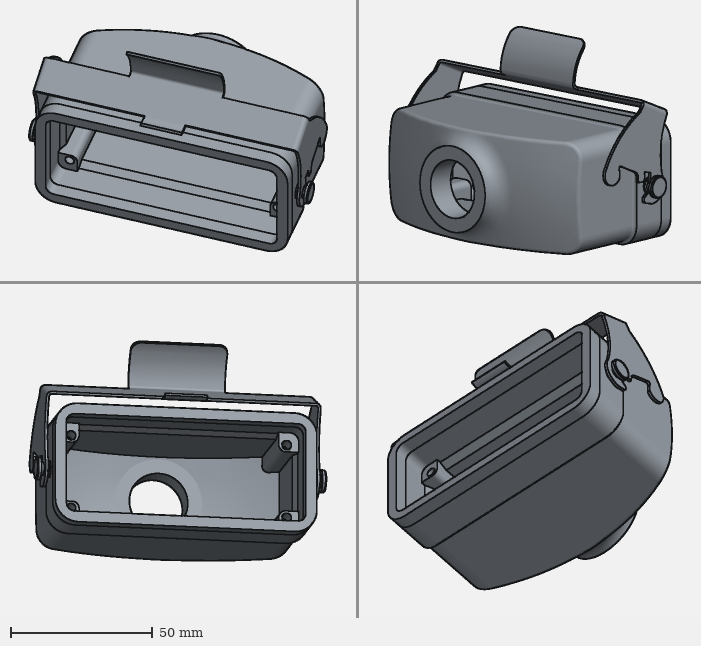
import cadquery as cq
import math


flange_width = 94.1
flange_height = 43.2
flange_radius = 8.0
flange_depth = 18.0
seal_depth = 5.1

body_width = 91.1
body_height = 40.9
body_radius = 6.7
step_fillet = 1
step_margin = 0.1
dome_peak = 57.7
dome_radius = 99.8
dome_center_y = dome_peak - dome_radius
dome_edge_fillet = 1.6

neck_end = 63.0
neck_diameter = 31.2
neck_flare = 7.1
entry_diameter = 21.0

mouth_width = 86.2
mouth_height = 35.5
mouth_radius = 3.1
cavity_inset = 1.4
taper_start = 15.5
taper_end = 18.8
back_wall = 4.0

boss_width = 7.2
boss_height = 7.0
boss_radius = 2.5
boss_front = 13.8
screw_spacing_x = 77.6
screw_spacing_z = 26.4
screw_hole_diameter = 3.3
screw_hole_depth = 8.3

overall_width = 104
pin_y = 11.4
pin_diameter = 4.7
pin_head_diameter = 8.0
pin_head_thickness = 1.5
pin_head_chamfer = 0.4
pin_collar_diameter = 5.9
pin_collar_thickness = 0.6
pin_collar_taper = 0.4

lever_width = 98.8
sheet = 0.99
bend_radius = 0.99
plate_tilt = 23.6
plate_length = 13.4
plate_back_y = 16.2
plate_back_z = 31.8
handle_width = 34.7
handle_bend_radius = 1
handle_arc_radius = 20.6
handle_arc_s = -16.2
handle_arc_n = 7.6
handle_end_angle = 26.5
handle_corner_radius = 3.4
slot_top_angle = 42
slot_low_angle = -36
tab_width = 15.2
tab_radius = 4.8
tab_angle = 51


def sharp_block(width, height, y_front, y_back):
    """Block along Y with a plain rectangular section centred on the Y axis."""
    return cq.Workplane("XZ", origin=(0, y_front, 0)).rect(width, height).extrude(y_front - y_back)


def rounded_block(width, height, radius, y_front, y_back):
    """Block along Y with a rounded rectangular section centred on the Y axis."""
    return sharp_block(width, height, y_front, y_back).edges("|Y").fillet(radius)


def y_cylinder(diameter, y_front, y_back):
    """Cylinder on the Y axis."""
    return cq.Workplane("XZ", origin=(0, y_front, 0)).circle(diameter / 2).extrude(y_front - y_back)


def dome_sphere(offset):
    """Sphere whose far cap is the domed back, moved inward by the offset."""
    return cq.Workplane("XY", origin=(0, dome_center_y, 0)).sphere(dome_radius - offset)


def neck_solid():
    """Round neck that flares into the dome, turned about the Y axis."""
    neck_radius = neck_diameter / 2
    flare_center_r = neck_radius + neck_flare
    flare_center_y = dome_center_y + math.sqrt((dome_radius + neck_flare) ** 2 - flare_center_r**2)
    tangent = dome_radius / (dome_radius + neck_flare)
    foot_r = flare_center_r * tangent
    foot_y = dome_center_y + (flare_center_y - dome_center_y) * tangent
    diagonal = neck_flare * math.sqrt(0.5)
    return (
        cq.Workplane("XY")
        .moveTo(0, flange_depth)
        .lineTo(foot_r, flange_depth)
        .lineTo(foot_r, foot_y)
        .threePointArc(
            (flare_center_r - diagonal, flare_center_y - diagonal),
            (neck_radius, flare_center_y),
        )
        .lineTo(neck_radius, neck_end)
        .lineTo(0, neck_end)
        .close()
        .revolve(360, (0, 0, 0), (0, 1, 0))
    )


def dome_edges(solid):
    """Edges where the domed back meets the flat and rounded sides of the body."""
    return [
        edge
        for edge in solid.edges().vals()
        if neck_end / 2 < edge.Center().y < dome_peak
        and (abs(edge.Center().z) > body_height / 3 or abs(edge.Center().x) > body_width / 3)
    ]


def outer_hood():
    """Filled outside shape: domed body, neck and the wider flange with a filleted step."""
    envelope = rounded_block(body_width, body_height, body_radius, seal_depth, neck_end)
    body = dome_sphere(0).union(neck_solid()).intersect(envelope)
    body = body.newObject(dome_edges(body)).fillet(dome_edge_fillet)
    flange = rounded_block(flange_width, flange_height, flange_radius, seal_depth, flange_depth)
    hood = body.union(flange)
    step_zone = cq.selectors.BoxSelector(
        (-body_width / 2 - step_margin, flange_depth - step_margin, -body_height / 2 - step_margin),
        (body_width / 2 + step_margin, flange_depth + step_margin, body_height / 2 + step_margin),
        boundingbox=True,
    )
    return hood.edges(step_zone).fillet(step_fillet)


def cavity():
    """Stepped cavity that follows the dome, with a flat seat around the cable entry."""
    mouth = rounded_block(mouth_width, mouth_height, mouth_radius, seal_depth, taper_start)
    deep_width = mouth_width - 2 * cavity_inset
    deep_height = mouth_height - 2 * cavity_inset
    taper = (
        cq.Workplane("XZ", origin=(0, taper_start, 0))
        .rect(mouth_width, mouth_height)
        .workplane(offset=taper_start - taper_end)
        .rect(deep_width, deep_height)
        .loft(ruled=True)
    )
    deep = sharp_block(deep_width, deep_height, taper_end, neck_end).intersect(dome_sphere(back_wall))
    inner_dome_radius = dome_radius - back_wall
    entry_seat = dome_center_y + math.sqrt(inner_dome_radius**2 - (neck_diameter / 2) ** 2)
    deep = deep.cut(y_cylinder(neck_diameter, entry_seat, neck_end))
    return mouth.union(taper).union(deep)


def screw_bosses():
    """Corner columns from near the mouth to the dome, each with a rounded inner corner."""
    column = sharp_block(mouth_width, mouth_height, boss_front, neck_end)
    gap_x = mouth_width - 2 * boss_width
    gap_z = mouth_height - 2 * boss_height
    upright = sharp_block(gap_x, mouth_height, boss_front, neck_end)
    level = sharp_block(mouth_width, gap_z, boss_front, neck_end)
    inner_corners = cq.selectors.BoxSelector(
        (-mouth_width / 2 + boss_radius, boss_front, -mouth_height / 2 + boss_radius),
        (mouth_width / 2 - boss_radius, neck_end, mouth_height / 2 - boss_radius),
    )
    cross = upright.union(level).edges("|Y").edges(inner_corners).fillet(boss_radius)
    return column.cut(cross)


def screw_holes():
    return (
        cq.Workplane("XZ", origin=(0, boss_front, 0))
        .rect(screw_spacing_x, screw_spacing_z, forConstruction=True)
        .vertices()
        .circle(screw_hole_diameter / 2)
        .extrude(-screw_hole_depth)
    )


def make_housing():
    outside = outer_hood()
    hollow = cavity().cut(screw_bosses()).union(screw_holes())
    return outside.cut(hollow).cut(y_cylinder(entry_diameter, flange_depth, neck_end))


def make_seal():
    """Ring that closes the front of the flange."""
    ring = rounded_block(flange_width, flange_height, flange_radius, 0, seal_depth)
    return ring.cut(rounded_block(mouth_width, mouth_height, mouth_radius, 0, seal_depth))


def make_pin(side):
    """Headed pivot pin with a collar against the flange; side is -1 for -X and +1 for +X."""
    pin_radius = pin_diameter / 2
    collar_radius = pin_collar_diameter / 2
    head_radius = pin_head_diameter / 2
    inner_end = flange_width / 2
    collar_end = inner_end + pin_collar_thickness
    outer_end = overall_width / 2
    profile = [
        (inner_end, 0),
        (inner_end, collar_radius),
        (collar_end, collar_radius),
        (collar_end + pin_collar_taper, pin_radius),
        (outer_end - pin_head_thickness, pin_radius),
        (outer_end - pin_head_thickness, head_radius),
        (outer_end - pin_head_chamfer, head_radius),
        (outer_end, head_radius - pin_head_chamfer),
        (outer_end, 0),
    ]
    return (
        cq.Workplane("XY", origin=(0, pin_y, 0))
        .polyline([(side * x, r) for x, r in profile])
        .close()
        .revolve(360, (0, 0, 0), (1, 0, 0))
    )


def place_on_plate(solid):
    """Move a solid from plate coordinates (Y along the plate, Z out of it) to its tilted place."""
    return solid.rotate((0, 0, 0), (1, 0, 0), plate_tilt).translate((0, plate_back_y, plate_back_z))


def centred_strip(outline, width):
    """Extrude a YZ outline symmetrically about the plane x = 0."""
    return outline.extrude(width / 2, both=True)


def point_on_pin(angle):
    """Point (y, z) on the pin's shank at an angle in degrees from +Y toward +Z."""
    turn = math.radians(angle)
    return (pin_y + pin_diameter / 2 * math.cos(turn), pin_diameter / 2 * math.sin(turn))


def lever_outline():
    """Side view of the lever arms: latch hook, plate end and hook around the pivot pin."""
    tilt = math.radians(plate_tilt)
    plate_front_y = plate_back_y - plate_length * math.cos(tilt)
    plate_front_z = plate_back_z - plate_length * math.sin(tilt)
    bend_depth = sheet + bend_radius
    drop_y = bend_depth * math.sin(tilt)
    drop_z = -bend_depth * math.cos(tilt)
    front_edge_top = (plate_front_y + drop_y, plate_front_z + drop_z)
    back_edge_top = (plate_back_y + drop_y, plate_back_z + drop_z)

    front_edge_mid, front_edge_end = (7.9, 13.9), (7.1, 3.2)
    pin_hook_mid, pin_hook_end = (7.8, -4.1), (12.8, -6.2)
    hook_tip_start, hook_tip_mid, hook_tip_end = (15.8, -5.4), (16.6, -4.2), (16.1, -3.1)
    slot_mouth_low = (15.0, -2.3)
    notch_height, notch_corner = 5.2, (15.9, 5.8)
    notch_round_mid, notch_round_end = (16.3, 5.7), (16.4, 5.3)
    toe_start, toe_mid, toe_end = (16.4, 3.5), (16.6, 2.9), (17.1, 2.6)
    heel_corner, heel_top = (19.5, 2.6), (19.7, 4.3)
    heel_round_mid, heel_round_end = (20.0, 5.5), (21.0, 6.7)
    throat_start, throat_mid, throat_end = (28.3, 9.9), (29.6, 9.8), (29.5, 8.7)
    latch_start, latch_bottom, latch_end = (29.5, 5.8), (33.0, 3.8), (36.6, 10.0)
    back_edge_mid, back_edge_end = (29.3, 20.2), (18.6, 28.0)

    return (
        cq.Workplane("YZ")
        .moveTo(plate_back_y, plate_back_z)
        .lineTo(plate_front_y, plate_front_z)
        .lineTo(*front_edge_top)
        .threePointArc(front_edge_mid, front_edge_end)
        .threePointArc(pin_hook_mid, pin_hook_end)
        .lineTo(*hook_tip_start)
        .threePointArc(hook_tip_mid, hook_tip_end)
        .lineTo(*slot_mouth_low)
        .lineTo(*point_on_pin(slot_low_angle))
        .threePointArc(point_on_pin(180), point_on_pin(slot_top_angle))
        .lineTo(point_on_pin(slot_top_angle)[0], notch_height)
        .lineTo(*notch_corner)
        .threePointArc(notch_round_mid, notch_round_end)
        .lineTo(*toe_start)
        .threePointArc(toe_mid, toe_end)
        .lineTo(*heel_corner)
        .lineTo(*heel_top)
        .threePointArc(heel_round_mid, heel_round_end)
        .lineTo(*throat_start)
        .threePointArc(throat_mid, throat_end)
        .lineTo(*latch_start)
        .threePointArc(latch_bottom, latch_end)
        .threePointArc(back_edge_mid, back_edge_end)
        .lineTo(*back_edge_top)
        .close()
    )


def bent_channel():
    """U-shaped sheet in plate coordinates, its web on top and its legs on both sides."""
    depth = lever_width
    outer_radius = bend_radius + sheet
    outer = cq.Workplane("XY").box(lever_width, depth, depth, centered=(True, True, False))
    outer = outer.translate((0, 0, -depth)).edges("|Y and >Z").fillet(outer_radius)
    inner_width = lever_width - 2 * sheet
    inner = cq.Workplane("XY").box(inner_width, depth, depth, centered=(True, True, False))
    inner = inner.translate((0, 0, -depth - sheet)).edges("|Y and >Z").fillet(bend_radius)
    return outer.cut(inner)


def lever_handle():
    """Curved finger grip rising from the back edge of the plate, in plate coordinates."""
    inner_arc = handle_arc_radius - sheet
    bend_n = handle_bend_radius
    reach = inner_arc - handle_bend_radius
    bend_s = handle_arc_s + math.sqrt(reach**2 - (handle_arc_n - bend_n) ** 2)
    joint_angle = math.asin((bend_n - handle_arc_n) / reach)
    end_angle = math.radians(handle_end_angle)

    def on_arc(radius, angle):
        return (
            handle_arc_s + radius * math.cos(angle),
            handle_arc_n + radius * math.sin(angle),
        )

    def on_bend(radius, angle):
        return (bend_s + radius * math.cos(angle), bend_n + radius * math.sin(angle))

    bend_middle = (joint_angle - math.pi / 2) / 2
    arc_middle = (joint_angle + end_angle) / 2
    outer_bend = handle_bend_radius + sheet
    outline = (
        cq.Workplane("YZ")
        .moveTo(0, 0)
        .lineTo(bend_s, 0)
        .threePointArc(on_bend(handle_bend_radius, bend_middle), on_arc(inner_arc, joint_angle))
        .threePointArc(on_arc(inner_arc, arc_middle), on_arc(inner_arc, end_angle))
        .lineTo(*on_arc(handle_arc_radius, end_angle))
        .threePointArc(on_arc(handle_arc_radius, arc_middle), on_arc(handle_arc_radius, joint_angle))
        .threePointArc(on_bend(outer_bend, bend_middle), (bend_s, -sheet))
        .lineTo(0, -sheet)
        .close()
    )
    across_end = cq.Vector(0, math.cos(end_angle), math.sin(end_angle))
    handle = centred_strip(outline, handle_width)
    return handle.edges(cq.selectors.ParallelDirSelector(across_end)).fillet(handle_corner_radius)


def lever_tab():
    """Short lip curling up from the front edge of the plate, in plate coordinates."""
    turn = math.radians(tab_angle)

    def on_lip(radius, angle):
        return (-plate_length - radius * math.sin(angle), tab_radius - radius * math.cos(angle))

    outer = tab_radius + sheet
    outline = (
        cq.Workplane("YZ")
        .moveTo(*on_lip(tab_radius, 0))
        .threePointArc(on_lip(tab_radius, turn / 2), on_lip(tab_radius, turn))
        .lineTo(*on_lip(outer, turn))
        .threePointArc(on_lip(outer, turn / 2), on_lip(outer, 0))
        .close()
    )
    return centred_strip(outline, tab_width)


def make_lever():
    frame = centred_strip(lever_outline(), lever_width).intersect(place_on_plate(bent_channel()))
    return frame.union(place_on_plate(lever_handle())).union(place_on_plate(lever_tab()))


housing = make_housing()
seal = make_seal()
pins = [make_pin(side) for side in (-1, 1)]
lever = make_lever()
result = cq.Compound.makeCompound([housing.val(), seal.val(), *[pin.val() for pin in pins], lever.val()])